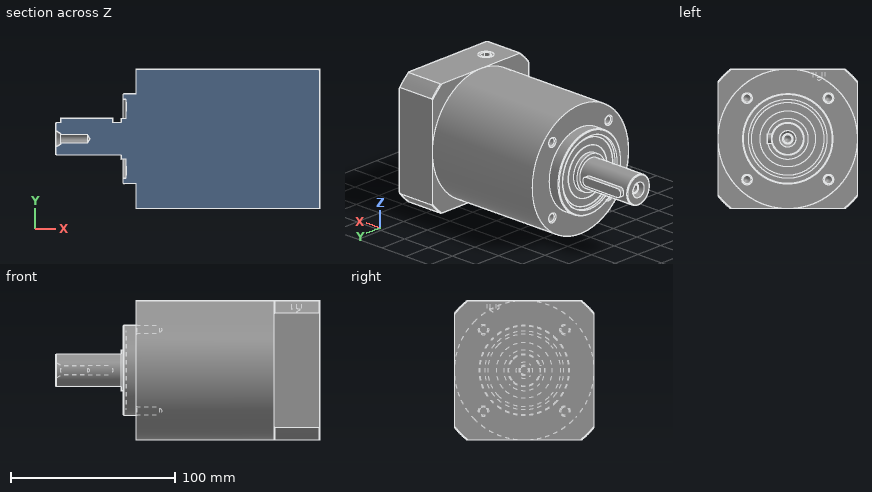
import cadquery as cq
import math

TOTAL_LENGTH = 161.0
COLLAR_START = 40.0
PILOT_START = 41.0
BODY_START = 49.0
FLANGE_START = 133.0

SHAFT_DIA = 20.0
COLLAR_DIA = 25.0
PILOT_DIA = 55.0
BODY_DIA = 85.0
EDGE_CHAMFER = 0.5

RECESS_DIA = 48.0
RECESS_DEPTH = 1.8
SHIELD_OUTER_DIA = 44.3
SHIELD_INNER_DIA = 34.0
SHIELD_STEP = 0.3

FLANGE_SIDE = BODY_DIA
FLANGE_CORNER_DIA = 110.0

KEY_START = 3.0
KEY_LENGTH = 31.9
KEY_WIDTH = 6.0
KEY_TOP = 12.5

CENTRE_MOUTH_DIA = 10.0
CENTRE_SEAT_DIA = 6.5
CENTRE_CONE_ANGLE = 60.0
CENTRE_DRILL_DIA = 5.0
CENTRE_DRILL_DEPTH = 19.3

MOUNT_SPACING = 49.6
MOUNT_MOUTH_DIA = 6.5
MOUNT_MOUTH_ANGLE = 90.0
MOUNT_DRILL_DIA = 5.0
MOUNT_DRILL_DEPTH = 14.5

SCREW_X = 146.7
SCREW_Y = -19.0
SCREW_DIA = 10.0
SCREW_RECESS = 0.2
SOCKET_WIDTH = 6.3
SOCKET_DEPTH = 4.8

DRILL_POINT_ANGLE = 118.0


def cylinder_x(diameter, start, end):
    """Cylinder along the X axis between two X positions."""
    return cq.Workplane("YZ", origin=(start, 0, 0)).circle(diameter / 2).extrude(end - start)


def cone_length(large_dia, small_dia, angle):
    """Axial length of a cone with the given included angle."""
    return (large_dia - small_dia) / 2 / math.tan(math.radians(angle / 2))


def revolve_about_x(profile):
    """Solid of revolution about the X axis from (axial, radial) points."""
    return cq.Workplane("XY").polyline(profile).close().revolve(360, (0, 0, 0), (1, 0, 0))


def drilled_hole(diameter, depth, mouth_dia, mouth_angle, seat_dia):
    """Hole along +X from the origin: bore with a drill point, and a cone narrowing from mouth to seat."""
    tip = depth + cone_length(diameter, 0, DRILL_POINT_ANGLE)
    seat = cone_length(mouth_dia, seat_dia, mouth_angle)
    bore_profile = [(0, 0), (0, diameter / 2), (depth, diameter / 2), (tip, 0)]
    mouth_profile = [(0, 0), (0, mouth_dia / 2), (seat, seat_dia / 2), (seat, 0)]
    return revolve_about_x(bore_profile).union(revolve_about_x(mouth_profile))


def make_flange():
    length = TOTAL_LENGTH - FLANGE_START
    square = cq.Workplane("YZ", origin=(FLANGE_START, 0, 0)).rect(FLANGE_SIDE, FLANGE_SIDE).extrude(length)
    turned = cylinder_x(FLANGE_CORNER_DIA, FLANGE_START, TOTAL_LENGTH).edges().chamfer(EDGE_CHAMFER)
    return square.intersect(turned)


def make_pilot():
    """Centring pilot whose recess shows a bearing with a sunken shield between its rings."""
    pilot = cylinder_x(PILOT_DIA, PILOT_START, BODY_START).faces("<X").edges().chamfer(EDGE_CHAMFER)
    ring_face = PILOT_START + RECESS_DEPTH
    shield_face = ring_face + SHIELD_STEP
    recess = cylinder_x(RECESS_DIA, PILOT_START, ring_face)
    shield_groove = cylinder_x(SHIELD_OUTER_DIA, ring_face, shield_face).cut(
        cylinder_x(SHIELD_INNER_DIA, ring_face, shield_face)
    )
    return pilot.cut(recess).cut(shield_groove)


def make_key():
    middle = KEY_START + KEY_LENGTH / 2
    return cq.Workplane("XZ", origin=(middle, 0, 0)).slot2D(KEY_LENGTH, KEY_WIDTH).extrude(-KEY_TOP)


def make_shaft():
    shaft = cylinder_x(SHAFT_DIA, 0, BODY_START).faces("<X").edges().chamfer(EDGE_CHAMFER)
    collar = cylinder_x(COLLAR_DIA, COLLAR_START, BODY_START)
    centre_hole = drilled_hole(
        CENTRE_DRILL_DIA, CENTRE_DRILL_DEPTH, CENTRE_MOUTH_DIA, CENTRE_CONE_ANGLE, CENTRE_SEAT_DIA
    )
    return shaft.union(collar).union(make_key()).cut(centre_hole)


def make_mount_holes():
    hole = drilled_hole(
        MOUNT_DRILL_DIA, MOUNT_DRILL_DEPTH, MOUNT_MOUTH_DIA, MOUNT_MOUTH_ANGLE, MOUNT_DRILL_DIA
    )
    holes = cq.Workplane("XY")
    for side_y in (-1, 1):
        for side_z in (-1, 1):
            position = (BODY_START, side_y * MOUNT_SPACING / 2, side_z * MOUNT_SPACING / 2)
            holes = holes.add(hole.translate(position))
    return holes.combine()


def make_screw_cut():
    """Shallow recess over the screw head and a hexagon socket with a conical bottom."""
    top = FLANGE_SIDE / 2
    corner_dia = SOCKET_WIDTH / math.cos(math.pi / 6)
    tip_depth = SOCKET_DEPTH + cone_length(corner_dia, 0, DRILL_POINT_ANGLE)
    plane = cq.Workplane("XY", origin=(SCREW_X, SCREW_Y, top))
    recess = plane.circle(SCREW_DIA / 2).extrude(-SCREW_RECESS)
    hexagon = plane.transformed(rotate=(0, 0, 90)).polygon(6, corner_dia).extrude(-tip_depth)
    pointed = (
        cq.Workplane("XZ")
        .polyline([(0, 0), (corner_dia / 2, 0), (corner_dia / 2, -SOCKET_DEPTH), (0, -tip_depth)])
        .close()
        .revolve(360, (0, 0, 0), (0, 1, 0))
        .translate((SCREW_X, SCREW_Y, top))
    )
    return recess.union(hexagon.intersect(pointed))


body = cylinder_x(BODY_DIA, BODY_START, FLANGE_START)
result = (
    make_flange()
    .union(body)
    .union(make_pilot())
    .union(make_shaft())
    .cut(make_mount_holes())
    .cut(make_screw_cut())
)